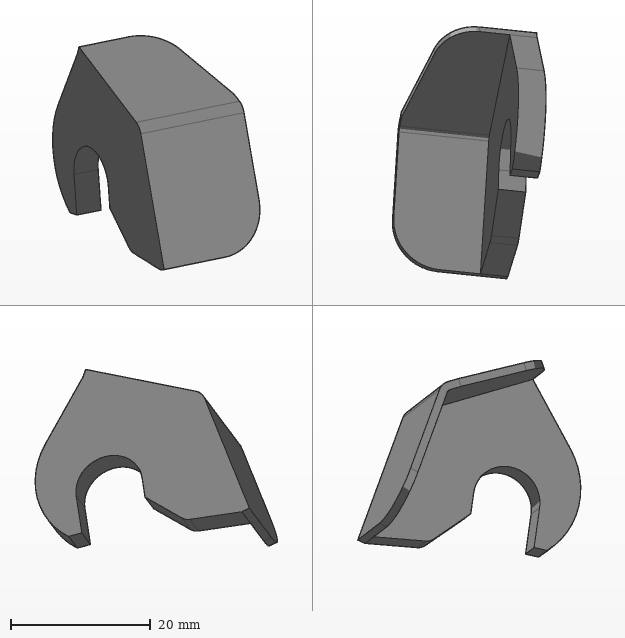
import cadquery as cq
import math

width = 17.0
plate_thickness = 4.0
wall_thickness = 1.2
base_z = -7.0

fold_corner = (14.0, 12.94)
wall_slope = 20.0
roof_length = 18.65
fold_inner_radius = 1.0
fold_outer_radius = fold_inner_radius + wall_thickness
front_corner_radius = 7.0
roof_taper_length = 16.0
roof_taper_depth = 4.0
roof_corner_radius = 6.0

slot_radius = 5.0
slot_tilt = 8.0
slot_long_side = 6.0
slot_short_side = 3.13
hook_tip_width = 2.0
hook_radius = 11.5
back_angle = 60.0
throat_angle = 37.0
throat_radius = 2.0


def direction(angle):
    """Unit vector in XZ at an angle in degrees above +X."""
    return (math.cos(math.radians(angle)), math.sin(math.radians(angle)))


def move(point, angle, distance):
    """Point reached by travelling a distance at an angle."""
    step = direction(angle)
    return (point[0] + distance * step[0], point[1] + distance * step[1])


roof_down = -wall_slope
front_down = wall_slope - 90
roof_inward = roof_down - 90
front_inward = front_down - 90

roof_edge_outer = move(fold_corner, roof_down, -roof_length)
roof_edge_inner = move(roof_edge_outer, roof_inward, wall_thickness)
fold_turn = roof_down - front_down
fold_corner_inner = move(
    fold_corner,
    (roof_inward + front_inward) / 2,
    wall_thickness / math.cos(math.radians(fold_turn / 2)),
)
front_end_inner = move(
    fold_corner_inner,
    front_down,
    (fold_corner_inner[1] - base_z) / math.cos(math.radians(wall_slope)),
)
front_end_outer = move(front_end_inner, front_inward, -wall_thickness)


def extrude_back(sketch, depth):
    """Extrude an XZ outline from Y = 0 towards +Y."""
    return sketch.extrude(-depth)


def round_edge_near(body, parallel_to, x, y, z, radius):
    """Fillet the straight edge with the given direction that lies nearest a point."""
    edges = body.edges(parallel_to)
    return edges.edges(cq.selectors.NearestToPointSelector((x, y, z))).fillet(radius)


def make_wall():
    """Folded wall with rounded bends, a tapered roof and rounded far corners."""
    outline = [
        roof_edge_outer,
        fold_corner,
        front_end_outer,
        front_end_inner,
        fold_corner_inner,
        roof_edge_inner,
    ]
    wall = extrude_back(cq.Workplane("XZ").polyline(outline).close(), width)
    middle = width / 2
    wall = round_edge_near(wall, "|Y", fold_corner[0], middle, fold_corner[1], fold_outer_radius)
    wall = round_edge_near(
        wall, "|Y", fold_corner_inner[0], middle, fold_corner_inner[1], fold_inner_radius
    )

    roof_axis = direction(roof_down)
    roof_normal = direction(roof_inward + 180)
    roof_plane = cq.Plane(
        origin=(roof_edge_outer[0], 0, roof_edge_outer[1]),
        xDir=(roof_axis[0], 0, roof_axis[1]),
        normal=(roof_normal[0], 0, roof_normal[1]),
    )
    taper = (
        cq.Workplane(roof_plane)
        .moveTo(0, width - roof_taper_depth)
        .lineTo(roof_taper_length, width)
        .lineTo(0, width)
        .close()
        .extrude(-wall_thickness)
    )
    wall = wall.cut(taper)

    roof_edge = move(roof_edge_outer, roof_inward, wall_thickness / 2)
    front_end = move(front_end_outer, front_inward, wall_thickness / 2)
    across_roof = cq.selectors.ParallelDirSelector(roof_plane.zDir)
    front_normal = direction(front_inward)
    across_front = cq.selectors.ParallelDirSelector(cq.Vector(front_normal[0], 0, front_normal[1]))
    wall = round_edge_near(
        wall, across_roof, roof_edge[0], width - roof_taper_depth, roof_edge[1], roof_corner_radius
    )
    return round_edge_near(wall, across_front, front_end[0], width, front_end[1], front_corner_radius)


def make_plate():
    """Hooked plate with a tilted slot, filling the inside of the folded wall."""
    slot_down = slot_tilt - 90
    slot_right = move((0, 0), slot_tilt, slot_radius)
    slot_left = move((0, 0), slot_tilt, -slot_radius)
    slot_top = move((0, 0), slot_tilt + 90, slot_radius)
    throat_start = move(slot_right, slot_down, slot_short_side)
    throat_run = (throat_start[1] - base_z) / math.tan(math.radians(throat_angle))
    throat_end = (throat_start[0] + throat_run, base_z)
    hook_inner = move(slot_left, slot_down, slot_long_side)
    hook_outer = move(hook_inner, slot_tilt, -hook_tip_width)

    back_normal = back_angle - 90
    line_point = move(roof_edge_inner, back_normal, hook_radius)
    along = direction(back_angle)
    to_tip_x = hook_outer[0] - line_point[0]
    to_tip_z = hook_outer[1] - line_point[1]
    tip_along = to_tip_x * along[0] + to_tip_z * along[1]
    tip_across = to_tip_x * along[1] - to_tip_z * along[0]
    centre_along = tip_along + math.sqrt(hook_radius**2 - tip_across**2)
    hook_centre = move(line_point, back_angle, centre_along)
    back_end = move(hook_centre, back_normal, -hook_radius)
    hook_side = (hook_centre[0] - hook_radius, hook_centre[1])

    sketch = (
        cq.Workplane("XZ")
        .moveTo(*roof_edge_inner)
        .lineTo(*fold_corner_inner)
        .lineTo(*front_end_inner)
        .lineTo(*throat_end)
        .lineTo(*throat_start)
        .lineTo(*slot_right)
        .threePointArc(slot_top, slot_left)
        .lineTo(*hook_inner)
        .lineTo(*hook_outer)
        .threePointArc(hook_side, back_end)
        .close()
    )
    plate = extrude_back(sketch, plate_thickness)
    return round_edge_near(
        plate, "|Y", throat_end[0], plate_thickness / 2, throat_end[1], throat_radius
    )


result = make_plate().union(make_wall()).clean()